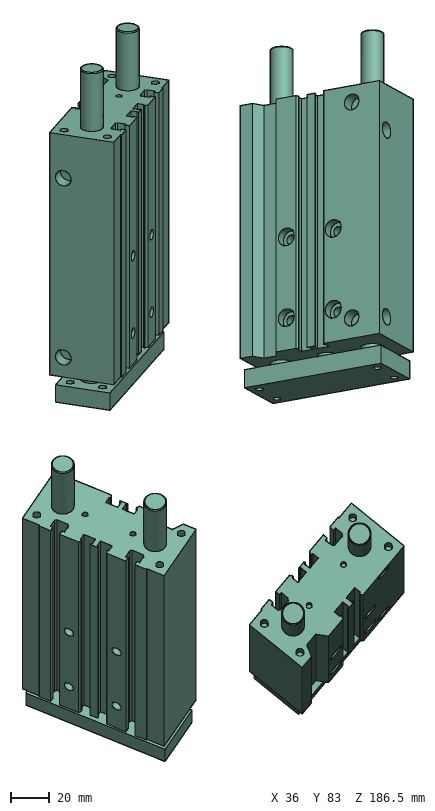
import cadquery as cq
import math

total_height = 186.5
plate_length = 81.5
plate_width = 30.0
plate_thickness = 9.9
housing_bottom = 15.3
housing_top = 153.1
housing_height = housing_top - housing_bottom
housing_length = 83.0
housing_width = 36.0
x_left = -housing_width / 2
x_right = housing_width / 2
y_end = housing_length / 2

plate_hole_x = 9.0
plate_hole_y = 35.0
plate_hole_diameter = 4.1

end_step_depth = 0.5
raised_half_length = 31.3

guide_rod_diameter = 12.0
guide_rod_y = 27.0
guide_rod_chamfer = 0.5
piston_rod_diameter = 10.0

sensor_recess_half_length = 8.2
sensor_recess_depth = 1.3
sensor_slot_y = 4.8
sensor_throat_width = 5.2
sensor_lip_depth = 2.0
sensor_slot_width = 6.9
sensor_slot_depth = 5.8

dovetail_y = guide_rod_y
dovetail_mouth_width = 14.0
dovetail_depth = 5.8
dovetail_wall_angle = 30.0

t_slot_y = 22.0
t_throat_width = 5.2
t_lip_depth = 2.6
t_slot_width = 8.2
t_slot_depth = 8.0
t_corner_chamfer = 1.0

mount_y = 14.0
mount_hole_z = [33.0, 77.0]
mount_hole_diameter = 5.5
mount_counterbore_diameter = 9.5
mount_counterbore_depth = 5.5

port_diameter = 8.5
port_depth = 7.5
face_port_y = -25.0
face_port_z = [26.5, 144.2]
end_port_x = -10.5
end_port_z = [26.5, 128.3]

corner_hole_x = 12.0
corner_hole_y = 36.0
corner_hole_diameter = 4.1
corner_hole_depth = 11.2
top_hole_y = 14.0
top_hole_diameter = 3.0
top_hole_depth = 5.6


def box_between(x0, x1, y0, y1):
    """Full-height block of the housing between two X and two Y limits."""
    return (
        cq.Workplane("XY", origin=(0, 0, housing_bottom))
        .moveTo((x0 + x1) / 2, (y0 + y1) / 2)
        .rect(abs(x1 - x0), abs(y1 - y0))
        .extrude(housing_height)
    )


def sensor_slots(side):
    """Shallow recess with sloped ends and two T-shaped slots in it; side is -1 or +1 along X."""
    face_x = side * housing_width / 2
    recess_x = face_x - side * sensor_recess_depth
    lip_x = face_x - side * sensor_lip_depth
    floor_x = face_x - side * sensor_slot_depth
    recess_floor_half_length = sensor_slot_y + sensor_throat_width / 2
    cutter = (
        cq.Workplane("XY", origin=(0, 0, housing_bottom))
        .polyline([
            (face_x, sensor_recess_half_length),
            (recess_x, recess_floor_half_length),
            (recess_x, -recess_floor_half_length),
            (face_x, -sensor_recess_half_length),
        ])
        .close()
        .extrude(housing_height)
    )
    half_throat = sensor_throat_width / 2
    half_slot = sensor_slot_width / 2
    for slot_y in (-sensor_slot_y, sensor_slot_y):
        cutter = cutter.union(box_between(recess_x, floor_x, slot_y - half_throat, slot_y + half_throat))
        cutter = cutter.union(box_between(lip_x, floor_x, slot_y - half_slot, slot_y + half_slot))
    return cutter


def dovetail_channel():
    """Channel in the -X face that narrows towards its floor."""
    half_mouth = dovetail_mouth_width / 2
    half_floor = half_mouth - dovetail_depth * math.tan(math.radians(dovetail_wall_angle))
    floor_x = x_left + dovetail_depth
    return (
        cq.Workplane("XY", origin=(0, dovetail_y, housing_bottom))
        .polyline([(x_left, half_mouth), (floor_x, half_floor), (floor_x, -half_floor), (x_left, -half_mouth)])
        .close()
        .extrude(housing_height)
    )


def t_slot(slot_y):
    """T-slot in the +X face with chamfered floor corners."""
    half_throat = t_throat_width / 2
    half_slot = t_slot_width / 2
    lip_x = x_right - t_lip_depth
    floor_x = x_right - t_slot_depth
    throat = box_between(x_right, lip_x, slot_y - half_throat, slot_y + half_throat)
    pocket = box_between(lip_x, floor_x, slot_y - half_slot, slot_y + half_slot)
    pocket = pocket.edges("|Z and <X").chamfer(t_corner_chamfer)
    return throat.union(pocket)


def hole_along_x(y, z, diameter, depth):
    """Round hole going in from the -X face."""
    return cq.Workplane("YZ", origin=(x_left, y, z)).circle(diameter / 2).extrude(depth)


def hole_along_y(x, z, diameter, depth):
    """Round hole going in from the -Y face."""
    return cq.Workplane("XZ", origin=(x, -y_end, z)).circle(diameter / 2).extrude(-depth)


def top_holes(points, diameter, depth):
    """Round holes going down from the top face."""
    return (
        cq.Workplane("XY", origin=(0, 0, housing_top))
        .pushPoints(points)
        .circle(diameter / 2)
        .extrude(-depth)
    )


def make_housing():
    """Cylinder housing with slots, mounting holes, ports and guide bores."""
    body = box_between(x_left, x_right, -y_end, y_end)

    for side in (-1, 1):
        body = body.cut(
            box_between(x_right - end_step_depth, x_right, side * raised_half_length, side * y_end)
        )

    for side in (-1, 1):
        body = body.cut(sensor_slots(side))
        body = body.cut(t_slot(side * t_slot_y))
    body = body.cut(dovetail_channel())

    for z in mount_hole_z:
        for y in (-mount_y, mount_y):
            body = body.cut(hole_along_x(y, z, mount_hole_diameter, housing_width))
            body = body.cut(hole_along_x(y, z, mount_counterbore_diameter, mount_counterbore_depth))

    for z in face_port_z:
        body = body.cut(hole_along_x(face_port_y, z, port_diameter, port_depth))
    for z in end_port_z:
        body = body.cut(hole_along_y(end_port_x, z, port_diameter, port_depth))

    corners = [(x, y) for x in (-corner_hole_x, corner_hole_x) for y in (-corner_hole_y, corner_hole_y)]
    body = body.cut(top_holes(corners, corner_hole_diameter, corner_hole_depth))
    body = body.cut(top_holes([(0, -top_hole_y), (0, top_hole_y)], top_hole_diameter, top_hole_depth))

    guide_points = [(0, -guide_rod_y), (0, guide_rod_y)]
    return body.cut(top_holes(guide_points, guide_rod_diameter, housing_height))


def make_slide():
    """Tool plate with the two guide rods and the piston rod."""
    body = cq.Workplane("XY").rect(plate_width, plate_length).extrude(plate_thickness)
    plate_holes = (
        cq.Workplane("XY")
        .rect(2 * plate_hole_x, 2 * plate_hole_y, forConstruction=True)
        .vertices()
        .circle(plate_hole_diameter / 2)
        .extrude(plate_thickness)
    )
    body = body.cut(plate_holes)
    for y in (-guide_rod_y, guide_rod_y):
        rod = (
            cq.Workplane("XY", origin=(0, y, 0))
            .circle(guide_rod_diameter / 2)
            .extrude(total_height)
            .faces(">Z")
            .chamfer(guide_rod_chamfer)
        )
        body = body.union(rod)
    piston_rod = cq.Workplane("XY").circle(piston_rod_diameter / 2).extrude(housing_bottom)
    return body.union(piston_rod)


housing = make_housing()
slide = make_slide()

result = cq.Compound.makeCompound([housing.val(), slide.val()])